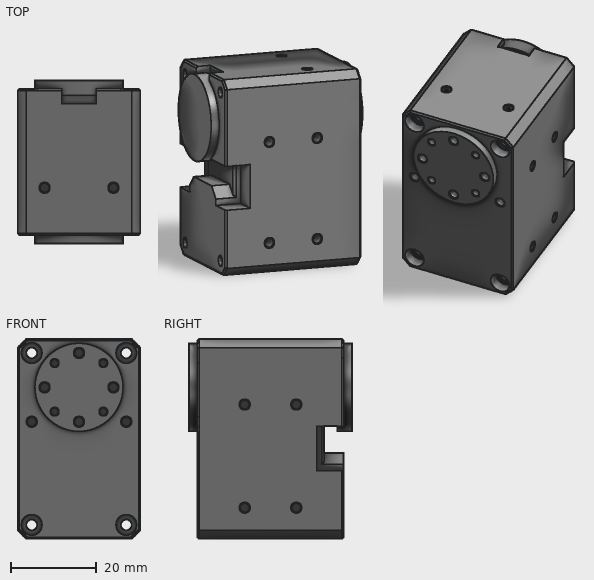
import cadquery as cq
import math

WIDTH = 28.5
BODY_DEPTH = 34.0
TOP_Z = 11.25
HEIGHT = 46.5
BOTTOM_Z = TOP_Z - HEIGHT
CORNER_CHAMFER = 2.0
FACE_CHAMFER = 0.4
HALF_WIDTH = WIDTH / 2
FRONT_Y = -BODY_DEPTH / 2
REAR_Y = BODY_DEPTH / 2

DISC_DIAMETER = 20.5
DISC_PROJECTION = 2.0
IDLER_EMBED = 1.5

DRILL_LARGE = 2.1
MOUTH_LARGE = 2.5
DRILL_SMALL = 1.7
MOUTH_SMALL = 2.0
HOLE_DEPTH = 4.0
DISC_HOLE_COUNT = 8
DISC_HOLE_RADIUS = 8.0

MOUNT_X = 11.0
MOUNT_TOP_Z = 8.0
MOUNT_BOTTOM_Z = -32.0
MOUNT_DIAMETER = 2.5
COUNTERBORE_DIAMETER = 4.8
COUNTERBORE_DEPTH = 2.75

FRONT_HOLE_Z = -8.0
SIDE_HOLE_Y = 6.0
SIDE_HOLE_ZS = (-4.0, -28.0)
TOP_HOLE_X = 8.0
TOP_HOLE_Y = -6.0

WINDOW_WIDTH = 8.0
WINDOW_DEPTH = 3.5
WINDOW_FLOOR_Z = 9.0

CHANNEL_TOP_Z = -9.0
POCKET_DEPTH = 6.2
POCKET_FLOOR_Z = -19.4
POCKET_INNER_X = 8.2
STEP_HEIGHT = 1.5
STEP_DEPTH = 1.15
MIDDLE_DEPTH = 4.5
MIDDLE_FLOOR_Z = -15.25


def make_body():
    """Block with chamfered long edges and a small chamfer around both end faces."""
    center_z = (TOP_Z + BOTTOM_Z) / 2
    body = cq.Workplane("XY").box(WIDTH, BODY_DEPTH, HEIGHT)
    body = body.edges("|Y").chamfer(CORNER_CHAMFER)
    body = body.faces("<Y or >Y").chamfer(FACE_CHAMFER)
    return body.translate((0, 0, center_z))


def cylinder(point, direction, diameter, length):
    """Cylinder that starts at a point and runs along a direction."""
    solid = cq.Solid.makeCylinder(diameter / 2, length, cq.Vector(*point), cq.Vector(*direction))
    return cq.Workplane(solid)


def tapped_hole(point, direction, drill, mouth):
    """Tool for a blind hole with a 45 degree chamfer at its mouth."""
    chamfer = (mouth - drill) / 2
    cone = cq.Solid.makeCone(mouth / 2, drill / 2, chamfer, cq.Vector(*point), cq.Vector(*direction))
    return cylinder(point, direction, drill, HOLE_DEPTH).union(cq.Workplane(cone))


def channel_outline(open_level, pocket_level, edge_level, middle_level):
    """Closed outline across X: deep at both sides, raised by a step and a 45 degree ramp in the middle."""
    middle_x = POCKET_INNER_X - (middle_level - edge_level)
    left = [
        (-HALF_WIDTH, open_level),
        (-HALF_WIDTH, pocket_level),
        (-POCKET_INNER_X, pocket_level),
        (-POCKET_INNER_X, edge_level),
        (-middle_x, middle_level),
    ]
    right = [(-x, level) for x, level in reversed(left)]
    return left + right


def make_channel():
    """Cable channel, open to the rear and to both sides."""
    floor_outline = channel_outline(
        CHANNEL_TOP_Z,
        POCKET_FLOOR_Z,
        POCKET_FLOOR_Z + STEP_HEIGHT,
        MIDDLE_FLOOR_Z,
    )
    pocket_back_y = REAR_Y - POCKET_DEPTH
    back_outline = channel_outline(
        REAR_Y,
        pocket_back_y,
        pocket_back_y + STEP_DEPTH,
        REAR_Y - MIDDLE_DEPTH,
    )
    floor_plane = cq.Workplane("XZ").workplane(offset=-REAR_Y)
    floor_shape = floor_plane.polyline(floor_outline).close().extrude(POCKET_DEPTH)
    back_plane = cq.Workplane("XY").workplane(offset=POCKET_FLOOR_Z)
    back_shape = back_plane.polyline(back_outline).close().extrude(CHANNEL_TOP_Z - POCKET_FLOOR_Z)
    return floor_shape.intersect(back_shape)


def make_window():
    """Notch in the top rear edge that uncovers the rim of the idler disc."""
    height = TOP_Z - WINDOW_FLOOR_Z
    window = cq.Workplane("XY").box(WINDOW_WIDTH, WINDOW_DEPTH, height, centered=(True, False, False))
    return window.translate((0, REAR_Y - WINDOW_DEPTH, WINDOW_FLOOR_Z))


def add_discs(body):
    """Output disc at the front, idler disc at the rear."""
    output = cylinder((0, FRONT_Y, 0), (0, -1, 0), DISC_DIAMETER, DISC_PROJECTION)
    idler = cylinder((0, REAR_Y - IDLER_EMBED, 0), (0, 1, 0), DISC_DIAMETER, IDLER_EMBED + DISC_PROJECTION)
    return body.union(output).union(idler)


def cut_disc_holes(body):
    """Holes on one pitch circle, alternating large and small."""
    face_y = FRONT_Y - DISC_PROJECTION
    for index in range(DISC_HOLE_COUNT):
        angle = 2 * math.pi * index / DISC_HOLE_COUNT
        point = (DISC_HOLE_RADIUS * math.cos(angle), face_y, DISC_HOLE_RADIUS * math.sin(angle))
        if index % 2 == 0:
            hole = tapped_hole(point, (0, 1, 0), DRILL_LARGE, MOUTH_LARGE)
        else:
            hole = tapped_hole(point, (0, 1, 0), DRILL_SMALL, MOUTH_SMALL)
        body = body.cut(hole)
    return body


def cut_mounting_holes(body):
    """Four counterbored through holes near the corners."""
    for x in (-MOUNT_X, MOUNT_X):
        for z in (MOUNT_TOP_Z, MOUNT_BOTTOM_Z):
            point = (x, FRONT_Y, z)
            body = body.cut(cylinder(point, (0, 1, 0), MOUNT_DIAMETER, BODY_DEPTH))
            body = body.cut(cylinder(point, (0, 1, 0), COUNTERBORE_DIAMETER, COUNTERBORE_DEPTH))
    return body


def cut_wall_holes(body):
    """Tapped holes in the front, top and both side walls, mirrored about X = 0."""
    for side in (-1, 1):
        front_point = (side * MOUNT_X, FRONT_Y, FRONT_HOLE_Z)
        body = body.cut(tapped_hole(front_point, (0, 1, 0), DRILL_LARGE, MOUTH_LARGE))
        top_point = (side * TOP_HOLE_X, TOP_HOLE_Y, TOP_Z)
        body = body.cut(tapped_hole(top_point, (0, 0, -1), DRILL_LARGE, MOUTH_LARGE))
        for y in (-SIDE_HOLE_Y, SIDE_HOLE_Y):
            for z in SIDE_HOLE_ZS:
                side_point = (side * HALF_WIDTH, y, z)
                body = body.cut(tapped_hole(side_point, (-side, 0, 0), DRILL_LARGE, MOUTH_LARGE))
    return body


housing = make_body().cut(make_channel()).cut(make_window())
housing = add_discs(housing)
housing = cut_disc_holes(housing)
housing = cut_mounting_holes(housing)
result = cut_wall_holes(housing)